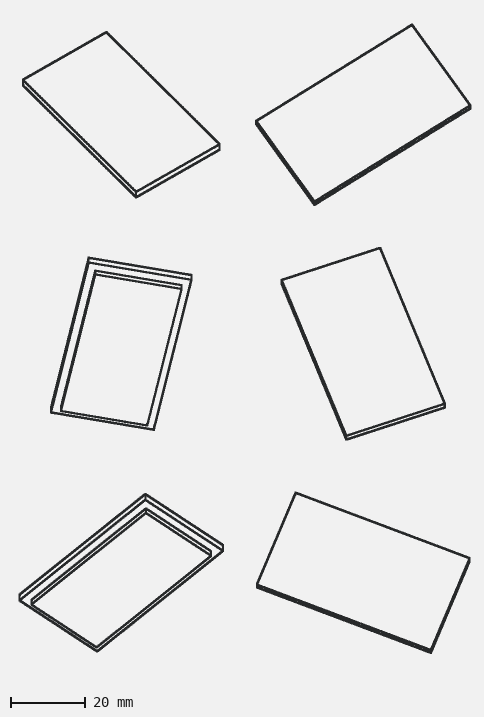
import cadquery as cq

plate_length = 50.0
plate_width = 28.0
total_height = 4.0
plate_thickness = 2.25

step_inset = 2.25
step_height = total_height - plate_thickness
step_length = plate_length - 2 * step_inset
step_width = plate_width - 2 * step_inset

step = cq.Workplane("XY").rect(step_length, step_width).extrude(step_height)
plate = (
    cq.Workplane("XY")
    .workplane(offset=step_height)
    .rect(plate_length, plate_width)
    .extrude(plate_thickness)
)

result = step.union(plate)